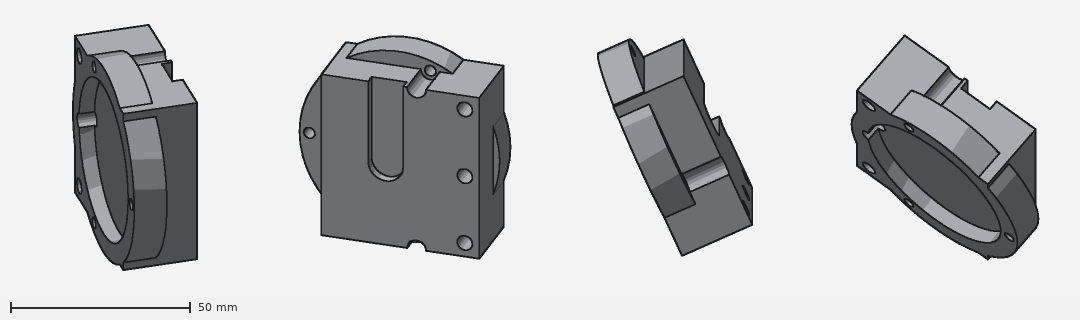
import cadquery as cq
import math

flange_radius = 29.45
flange_thickness = 9.5

body_left = -27.5
body_right = 19.0
body_half_height = 25.0
body_depth = 21.5

recess_radius = 23.5
recess_depth = 4.5

mount_diameter = 4.4
mount_x = -23.3
mount_spacing = 20.75

screw_diameter = 3.25
screw_circle_radius = 26.5
screw_angles = (0, 110, -110)
screw_head_radius = 2.75

slot_radius = 5.1
slot_depth = 3.0


def cylinder(x, z, radius, start_y, end_y):
    """Cylinder along +Y between two Y positions."""
    return cq.Workplane(cq.Solid.makeCylinder(
        radius, end_y - start_y, cq.Vector(x, start_y, z), cq.Vector(0, 1, 0)))


body = cq.Workplane("XY").box(
    body_right - body_left, body_depth, 2 * body_half_height, centered=False
).translate((body_left, 0, -body_half_height))

screw_centers = [
    (screw_circle_radius * math.cos(math.radians(angle)),
     screw_circle_radius * math.sin(math.radians(angle)))
    for angle in screw_angles
]
for x, z in screw_centers:
    body = body.cut(cylinder(x, z, screw_head_radius, flange_thickness, body_depth))

slot_floor = body_depth - slot_depth
straight_slot = cq.Workplane("XY").box(
    2 * slot_radius, slot_depth, body_half_height, centered=False
).translate((-slot_radius, slot_floor, 0))
body = body.cut(straight_slot)
body = body.cut(cylinder(0, 0, slot_radius, slot_floor, body_depth))


result = body.union(cylinder(0, 0, flange_radius, 0, flange_thickness))

result = result.cut(cylinder(0, 0, recess_radius, 0, recess_depth))

for z in (-mount_spacing, 0, mount_spacing):
    result = result.cut(cylinder(mount_x, z, mount_diameter / 2, 0, body_depth))
for x, z in screw_centers:
    result = result.cut(cylinder(x, z, screw_diameter / 2, 0, flange_thickness))